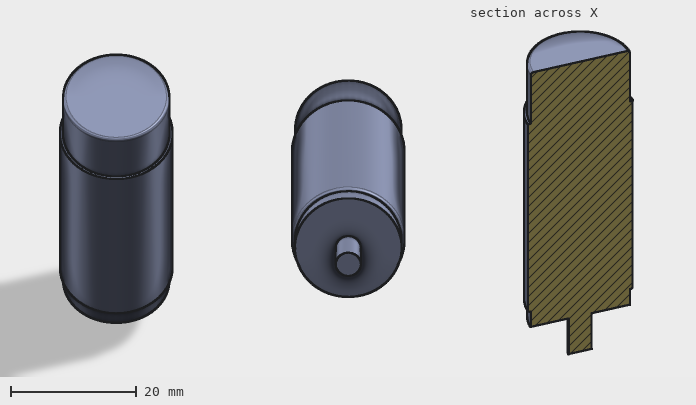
import cadquery as cq

cable_diameter = 4.0
cable_length = 7.0
collar_diameter = 17.0
collar_length = 3.0
body_diameter = 18.0
body_length = 37.0
body_edge_radius = 0.5
cap_diameter = 17.0
cap_length = 10.0
cap_edge_radius = 0.5

collar_bottom = 0.0
cable_bottom = collar_bottom - cable_length
body_bottom = collar_bottom + collar_length
cap_bottom = body_bottom + body_length


def cylinder(diameter, length, bottom):
    """Cylinder on the Z axis, standing on the given height."""
    return cq.Workplane("XY").workplane(offset=bottom).circle(diameter / 2).extrude(length)


def make_body():
    """Main barrel with its lower edge rounded."""
    body = cylinder(body_diameter, body_length, body_bottom)
    return body.faces("<Z").edges().fillet(body_edge_radius)


def make_cap():
    """Sensing cap with a rounded rim."""
    cap = cylinder(cap_diameter, cap_length, cap_bottom)
    return cap.faces(">Z").edges().fillet(cap_edge_radius)


cable = cylinder(cable_diameter, cable_length, cable_bottom)
collar = cylinder(collar_diameter, collar_length, collar_bottom)

result = cable.union(collar).union(make_body()).union(make_cap())